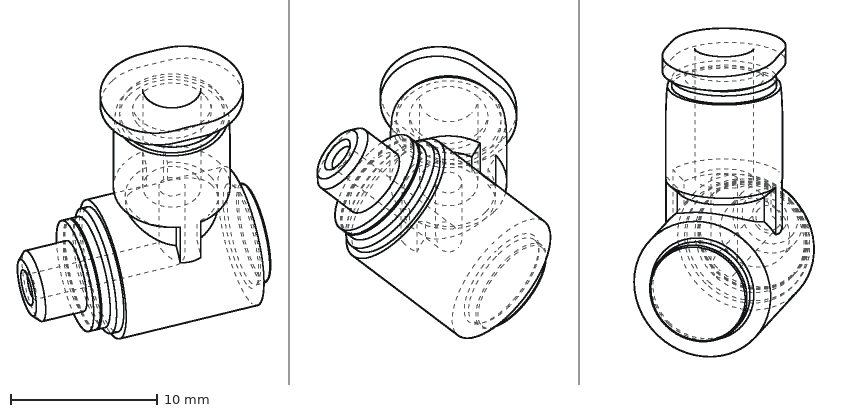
import cadquery as cq

barrel_diameter = 9.8
barrel_half_length = 5.0
flange_diameter = 8.82
flange_chamfer_start = 5.52
seal_diameter = 7.84
seal_start = 5.8
seal_end = 7.0
groove_start = 6.42
groove_width = 0.08
groove_depth = 0.08
spigot_diameter = 5.0
spigot_end = 10.5
spigot_chamfer = 0.5

cap_diameter = 6.98
cap_root_diameter = 7.4
cap_end = 6.0
cap_root_length = 0.2
cap_chamfer = 0.1

top_z = 20.9 - barrel_diameter / 2
neck_diameter = 6.4
neck_top_z = 5.55
sleeve_diameter = 8.0
sleeve_bottom_z = 6.33
taper_start_z = 11.12
taper_middle_z = 12.12
taper_middle_diameter = 7.95
taper_end_z = 13.08
taper_end_diameter = 7.77
collar_diameter = 7.2
collar_top_z = 13.63
stem_diameter = 5.4
stem_flare = 0.33
rib_width = 1.5

button_width = 7.84
button_length = 9.9
button_bottom_z = 14.48
button_cone_diameter = 9.53
button_cone_z = 15.55
button_rim_z = 15.49
button_mouth_diameter = 4.6

tube_bore_diameter = 4.0
passage_diameter = 1.8
spigot_mouth_diameter = 2.5


def turned_barrel():
    """Barrel, flange, seal land, spigot and rear cap as one turned profile."""
    barrel_radius = barrel_diameter / 2
    flange_radius = flange_diameter / 2
    seal_radius = seal_diameter / 2
    groove_radius = seal_radius - groove_depth
    groove_end = groove_start + groove_width
    spigot_radius = spigot_diameter / 2
    cap_radius = cap_diameter / 2
    cap_root_end = barrel_half_length + cap_root_length
    profile = [
        (0, -spigot_end),
        (spigot_radius - spigot_chamfer, -spigot_end),
        (spigot_radius, spigot_chamfer - spigot_end),
        (spigot_radius, -seal_end),
        (seal_radius, -seal_end),
        (seal_radius, -groove_end),
        (groove_radius, -groove_end),
        (groove_radius, -groove_start),
        (seal_radius, -groove_start),
        (seal_radius, -seal_start),
        (flange_radius, -flange_chamfer_start),
        (flange_radius, -barrel_half_length),
        (barrel_radius, -barrel_half_length),
        (barrel_radius, barrel_half_length),
        (cap_root_diameter / 2, barrel_half_length),
        (cap_radius, cap_root_end),
        (cap_radius, cap_end - cap_chamfer),
        (cap_radius - cap_chamfer, cap_end),
        (0, cap_end),
    ]
    return cq.Workplane("XY").polyline(profile).close().revolve(360, (0, 0, 0), (0, 1, 0))


def turned_port():
    """Neck, sleeve, collar and stem, with a bulging taper above the sleeve."""
    sleeve_radius = sleeve_diameter / 2
    stem_radius = stem_diameter / 2
    return (
        cq.Workplane("XZ")
        .lineTo(neck_diameter / 2, 0)
        .lineTo(neck_diameter / 2, neck_top_z)
        .lineTo(sleeve_radius, sleeve_bottom_z)
        .lineTo(sleeve_radius, taper_start_z)
        .threePointArc(
            (taper_middle_diameter / 2, taper_middle_z),
            (taper_end_diameter / 2, taper_end_z),
        )
        .lineTo(collar_diameter / 2, taper_end_z)
        .lineTo(collar_diameter / 2, collar_top_z)
        .lineTo(stem_radius, collar_top_z)
        .lineTo(stem_radius, button_bottom_z - stem_flare)
        .radiusArc((stem_radius + stem_flare, button_bottom_z), stem_flare)
        .lineTo(0, button_bottom_z)
        .close()
        .revolve(360, (0, 0, 0), (0, 1, 0))
    )


def side_ribs():
    """Two ribs that carry the sleeve surface down into the barrel."""
    rib_height = sleeve_bottom_z + (sleeve_diameter - neck_diameter) / 2
    sleeve = cq.Workplane("XY").circle(sleeve_diameter / 2).extrude(rib_height)
    slab = cq.Workplane("XY").rect(sleeve_diameter, rib_width).extrude(rib_height)
    return sleeve.intersect(slab)


def release_button():
    """Oblong button with a shallow conical top that steepens at its rim."""
    cone = (
        cq.Workplane("XZ")
        .moveTo(0, button_bottom_z)
        .lineTo(button_length / 2, button_bottom_z)
        .lineTo(button_length / 2, button_rim_z)
        .lineTo(button_cone_diameter / 2, button_cone_z)
        .lineTo(button_mouth_diameter / 2, top_z)
        .lineTo(0, top_z)
        .close()
        .revolve(360, (0, 0, 0), (0, 1, 0))
    )
    oblong = (
        cq.Workplane("XY", origin=(0, 0, button_bottom_z))
        .slot2D(button_length, button_width, 90)
        .extrude(top_z - button_bottom_z)
    )
    return cone.intersect(oblong)


def tube_bore():
    """Blind tube socket with a rounded mouth, ending level with the sleeve bottom."""
    mouth_round = (button_mouth_diameter - tube_bore_diameter) / 2
    return (
        cq.Workplane("XZ")
        .moveTo(0, sleeve_bottom_z)
        .lineTo(tube_bore_diameter / 2, sleeve_bottom_z)
        .lineTo(tube_bore_diameter / 2, top_z - mouth_round)
        .radiusArc((button_mouth_diameter / 2, top_z), mouth_round)
        .lineTo(0, top_z)
        .close()
        .revolve(360, (0, 0, 0), (0, 1, 0))
    )


def elbow_passage():
    """Passage from the socket to the spigot, with a spherical elbow."""
    radius = passage_diameter / 2
    mouth_radius = spigot_mouth_diameter / 2
    upright = cq.Workplane("XY").circle(radius).extrude(sleeve_bottom_z)
    level = (
        cq.Workplane("XY")
        .lineTo(radius, 0)
        .lineTo(radius, mouth_radius - radius - spigot_end)
        .lineTo(mouth_radius, -spigot_end)
        .lineTo(0, -spigot_end)
        .close()
        .revolve(360, (0, 0, 0), (0, 1, 0))
    )
    return upright.union(level).union(cq.Workplane("XY").sphere(radius))


body = turned_barrel().union(turned_port()).union(side_ribs()).union(release_button())
result = body.cut(tube_bore()).cut(elbow_passage())